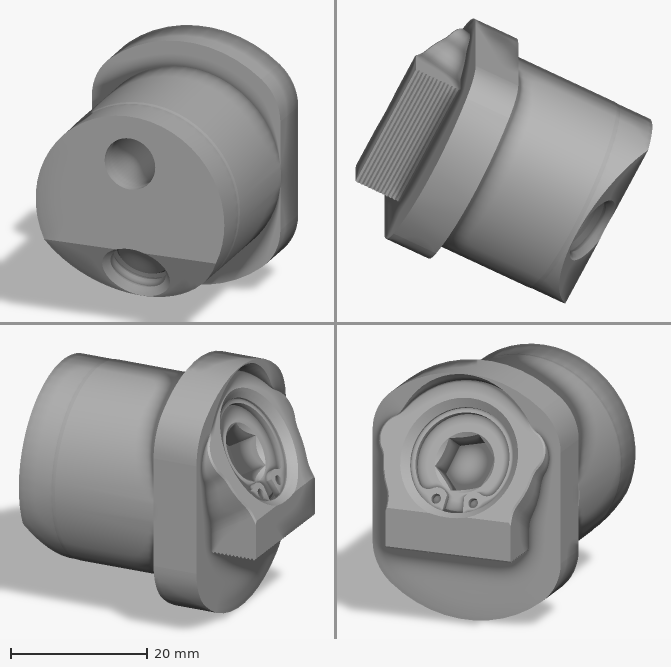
import cadquery as cq
import math

BARREL_DIA = 30.0
BARREL_LENGTH = 22.0
NOSE_DIA = 29.85
NOSE_LENGTH = 5.3
NOSE_TAPER = 0.65
FLANGE_RADIUS = 18.95
FLANGE_WIDTH = 29.8
FLANGE_THICKNESS = 7.0
FLANGE_CORNER_RADIUS = 8.0
DOWEL_HOLE_DIA = 8.0
DOWEL_HOLE_Z = 7.5
DOWEL_HOLE_DEPTH = 17.5
BEVEL_TOP_Z = -6.2

TILT = 30.0
AXIS_Z = 1.0
JAW_END = 11.45
BEVEL_STATION = (
    -BARREL_LENGTH * math.cos(math.radians(TILT))
    + (BEVEL_TOP_Z - AXIS_Z) * math.sin(math.radians(TILT))
)

JAW_RADIUS = 11.9
LOBE_RADIUS = 3.6
LOBE_X = 9.5
LOBE_V = 2.1
FOOT_HALF_WIDTH = 9.9
FOOT_DROP = 20.0
JAW_FILLET = 4.0
JAW_CHAMFER = 0.25
JAW_FRONT_Y = -7.34
JAW_TIP_Y = 14.24
JAW_FLOOR_Z = -7.0
TOOTH_COUNT = 12
TOOTH_DEPTH = 0.3

HEAD_RADIUS = 8.0
HEAD_LENGTH = 8.0
HEAD_CHAMFER = 0.6
BORE_CHAMFER = 1.15
SHANK_RADIUS = 4.3
SHANK_CHAMFER = 0.5
SHANK_RECESS = 3.1
COUNTERSINK_RADIUS = 5.25
THREAD_PITCH = 1.5
THREAD_TURNS = 2
THREAD_DEPTH = 0.55
HEX_ACROSS_FLATS = 8.0
HEX_DEPTH = 5.0
HEX_TURN = 13.5
HEX_CHAMFER = 1.2
RING_DEPTH = 1.5
RING_THICKNESS = 1.0
RING_OUTER_RADIUS = 8.5
RING_INNER_RADIUS = 7.3
EAR_X = 2.93
EAR_V = -6.1
EAR_RADIUS = 1.73
EAR_HOLE_DIA = 1.5
EAR_FILLET = 1.7
RING_GAP_INNER = 2.5
RING_GAP_OUTER = 3.4

RING_STATION = JAW_END - RING_DEPTH - RING_THICKNESS
HEAD_TOP = RING_STATION
HEAD_BOTTOM = HEAD_TOP - HEAD_LENGTH
SHANK_END = BEVEL_STATION + SHANK_RECESS
SPAN = 80.0


def slanted(station=0.0):
    """Workplane square to the slanted axis; local y points up the jaw's end face."""
    tilt = math.radians(TILT)
    direction = cq.Vector(0, math.cos(tilt), math.sin(tilt))
    origin = cq.Vector(0, 0, AXIS_Z) + direction * station
    return cq.Workplane(cq.Plane(origin, xDir=(-1, 0, 0), normal=direction))


def cylinder(start, end, radius):
    return slanted(start).circle(radius).extrude(end - start)


def cone(start, end, start_radius, end_radius):
    profile = [(0, start), (start_radius, start), (end_radius, end), (0, end)]
    turned = cq.Workplane("XY").polyline(profile).close().revolve(360, (0, 0), (0, 1))
    tilted = turned.rotate((0, 0, 0), (1, 0, 0), TILT)
    return tilted.translate((0, 0, AXIS_Z))


def polar(radius, angle, center=(0, 0)):
    return (center[0] + radius * math.cos(angle), center[1] + radius * math.sin(angle))


def direction_angle(start, end):
    return math.atan2(end[1] - start[1], end[0] - start[0])


def corner_angle(side, other_side, opposite):
    """Angle between two sides of a triangle, from its three side lengths."""
    return math.acos((side**2 + other_side**2 - opposite**2) / (2 * side * other_side))


def arc_by_angles(center, radius, start, end):
    """Middle point and end point of an arc about center."""
    return (polar(radius, (start + end) / 2, center), polar(radius, end, center))


def jaw_outline_arcs():
    """Arcs of the right half of the jaw outline, from its top down to the foot."""
    axis = (0, 0)
    lobe = (LOBE_X, LOBE_V)
    lobe_angle = direction_angle(axis, lobe)
    half_turn = math.pi

    fillet_distance = JAW_RADIUS + JAW_FILLET
    blend = corner_angle(fillet_distance, math.hypot(*lobe), LOBE_RADIUS + JAW_FILLET)
    upper_angle = lobe_angle + blend
    upper_fillet = polar(fillet_distance, upper_angle)
    lobe_start = direction_angle(lobe, upper_fillet)
    lower_angle = lobe_angle - blend
    lower_fillet = polar(fillet_distance, lower_angle)
    lobe_end = direction_angle(lobe, lower_fillet)

    foot_fillet_x = FOOT_HALF_WIDTH + JAW_FILLET
    foot_fillet_v = -math.sqrt(fillet_distance**2 - foot_fillet_x**2)
    foot_fillet = (foot_fillet_x, foot_fillet_v)
    main_end = direction_angle(axis, foot_fillet)

    return [
        arc_by_angles(axis, JAW_RADIUS, math.pi / 2, upper_angle),
        arc_by_angles(upper_fillet, JAW_FILLET, upper_angle - half_turn, lobe_start - half_turn),
        arc_by_angles(lobe, LOBE_RADIUS, lobe_start, lobe_end),
        arc_by_angles(lower_fillet, JAW_FILLET, lobe_end + half_turn, lower_angle + half_turn),
        arc_by_angles(axis, JAW_RADIUS, lower_angle, main_end),
        arc_by_angles(foot_fillet, JAW_FILLET, main_end + half_turn, half_turn),
    ]


def jaw_prism(end):
    """Jaw outline swept along the axis up to station end, before its front and underside are cut."""
    start = -SPAN / 2
    outline = slanted(start).moveTo(0, JAW_RADIUS)
    for middle, finish in jaw_outline_arcs():
        outline = outline.threePointArc(middle, finish)
    outline = outline.lineTo(FOOT_HALF_WIDTH, -FOOT_DROP).lineTo(0, -FOOT_DROP)
    return outline.mirrorY().extrude(end - start)


def jaw_limits(tip_y):
    length = tip_y - JAW_FRONT_Y
    block = cq.Workplane("XY").box(SPAN, length, SPAN, centered=(True, False, False))
    return block.translate((0, JAW_FRONT_Y, JAW_FLOOR_Z))


def dowel_hole(end_y):
    front = cq.Workplane("XZ", origin=(0, -BARREL_LENGTH, 0)).center(0, DOWEL_HOLE_Z)
    return front.circle(DOWEL_HOLE_DIA / 2).extrude(-(end_y + BARREL_LENGTH))


def thread_groove(start):
    """V-groove standing for one turn of the internal thread."""
    middle = start + THREAD_PITCH / 2
    root_radius = SHANK_RADIUS + THREAD_DEPTH
    opening = cone(start, middle, SHANK_RADIUS, root_radius)
    return opening.union(cone(middle, start + THREAD_PITCH, root_radius, SHANK_RADIUS))


def make_housing():
    barrel_radius = BARREL_DIA / 2
    nose_radius = NOSE_DIA / 2
    nose_y = NOSE_LENGTH - BARREL_LENGTH
    barrel = (
        cq.Workplane("XY")
        .moveTo(0, -BARREL_LENGTH)
        .lineTo(nose_radius, -BARREL_LENGTH)
        .lineTo(nose_radius, nose_y)
        .lineTo(barrel_radius, nose_y + NOSE_TAPER)
        .lineTo(barrel_radius, 0)
        .lineTo(0, 0)
        .close()
        .revolve(360, (0, 0), (0, 1))
    )
    flange_sides = cq.Workplane("XZ").rect(FLANGE_WIDTH, SPAN).extrude(-FLANGE_THICKNESS)
    flange = (
        cq.Workplane("XZ")
        .circle(FLANGE_RADIUS)
        .extrude(-FLANGE_THICKNESS)
        .intersect(flange_sides)
        .faces("<X or >X")
        .edges("|Y")
        .fillet(FLANGE_CORNER_RADIUS)
    )
    bevel = slanted(BEVEL_STATION).rect(SPAN, SPAN).extrude(-SPAN)
    countersink_depth = COUNTERSINK_RADIUS - SHANK_RADIUS
    countersink = cone(
        BEVEL_STATION, BEVEL_STATION + countersink_depth, COUNTERSINK_RADIUS, SHANK_RADIUS
    )
    pocket = jaw_prism(SPAN / 2).intersect(jaw_limits(SPAN))
    housing_body = (
        barrel.union(flange)
        .cut(bevel)
        .cut(pocket)
        .cut(dowel_hole(DOWEL_HOLE_DEPTH - BARREL_LENGTH))
        .cut(cylinder(BEVEL_STATION, HEAD_BOTTOM, SHANK_RADIUS))
        .cut(countersink)
    )
    for turn in range(THREAD_TURNS):
        groove_start = BEVEL_STATION + countersink_depth + turn * THREAD_PITCH
        housing_body = housing_body.cut(thread_groove(groove_start))
    return housing_body


def make_teeth():
    """V-grooves across the exposed underside of the jaw."""
    pitch = (JAW_TIP_Y - FLANGE_THICKNESS) / TOOTH_COUNT
    outline = cq.Workplane("YZ", origin=(-SPAN / 2, 0, 0)).moveTo(FLANGE_THICKNESS, JAW_FLOOR_Z)
    for tooth in range(TOOTH_COUNT):
        groove_start = FLANGE_THICKNESS + tooth * pitch
        outline = outline.lineTo(groove_start, JAW_FLOOR_Z + TOOTH_DEPTH)
        outline = outline.lineTo(groove_start + pitch / 2, JAW_FLOOR_Z)
    outline = outline.lineTo(JAW_TIP_Y, JAW_FLOOR_Z + TOOTH_DEPTH)
    outline = outline.lineTo(JAW_TIP_Y, JAW_FLOOR_Z - 1).lineTo(FLANGE_THICKNESS, JAW_FLOOR_Z - 1)
    return outline.close().extrude(SPAN)


def make_jaw():
    end_face = cq.selectors.DirectionMinMaxSelector(slanted().plane.zDir, True)
    body = jaw_prism(JAW_END).faces(end_face).chamfer(JAW_CHAMFER)
    bore_mouth = cone(JAW_END - BORE_CHAMFER, JAW_END, HEAD_RADIUS, HEAD_RADIUS + BORE_CHAMFER)
    return (
        body.intersect(jaw_limits(JAW_TIP_Y))
        .cut(make_teeth())
        .cut(cylinder(HEAD_BOTTOM, JAW_END, HEAD_RADIUS))
        .cut(bore_mouth)
        .cut(cylinder(RING_STATION, RING_STATION + RING_THICKNESS, RING_OUTER_RADIUS))
        .cut(cylinder(BEVEL_STATION, HEAD_BOTTOM, SHANK_RADIUS))
    )


def make_screw():
    head_side_top = HEAD_TOP - HEAD_CHAMFER
    shank_side_end = SHANK_END + SHANK_CHAMFER
    hex_vertex_dia = HEX_ACROSS_FLATS / math.cos(math.radians(30))
    socket = (
        slanted(HEAD_TOP)
        .transformed(rotate=(0, 0, HEX_TURN))
        .polygon(6, hex_vertex_dia)
        .extrude(-HEX_DEPTH)
    )
    hex_vertex_radius = hex_vertex_dia / 2
    socket_mouth = cone(
        HEAD_TOP - HEX_CHAMFER, HEAD_TOP, hex_vertex_radius - HEX_CHAMFER, hex_vertex_radius
    )
    return (
        cylinder(HEAD_BOTTOM, head_side_top, HEAD_RADIUS)
        .union(cone(head_side_top, HEAD_TOP, HEAD_RADIUS, HEAD_RADIUS - HEAD_CHAMFER))
        .union(cylinder(shank_side_end, HEAD_BOTTOM, SHANK_RADIUS))
        .union(cone(SHANK_END, shank_side_end, SHANK_RADIUS - SHANK_CHAMFER, SHANK_RADIUS))
        .cut(socket)
        .cut(socket_mouth)
    )


def make_ring():
    """Internal retaining ring, open between its two drilled ears."""
    ear_places = [(-EAR_X, EAR_V), (EAR_X, EAR_V)]
    plane = slanted(RING_STATION)
    hoop = plane.circle(RING_OUTER_RADIUS).circle(RING_INNER_RADIUS).extrude(RING_THICKNESS)
    ear_distance = math.hypot(EAR_X, EAR_V)
    ear_angle = math.atan2(EAR_V, EAR_X)
    junction_angle = ear_angle + corner_angle(RING_INNER_RADIUS, ear_distance, EAR_RADIUS)
    junction_x, junction_v = polar(RING_INNER_RADIUS, junction_angle)
    ears = plane.pushPoints(ear_places).circle(EAR_RADIUS).extrude(RING_THICKNESS)
    gap_inner_v = EAR_V + EAR_RADIUS
    gap = (
        plane.polyline([
            (-RING_GAP_INNER / 2, gap_inner_v),
            (RING_GAP_INNER / 2, gap_inner_v),
            (RING_GAP_OUTER / 2, -RING_OUTER_RADIUS),
            (-RING_GAP_OUTER / 2, -RING_OUTER_RADIUS),
        ])
        .close()
        .extrude(RING_THICKNESS)
    )
    holes = plane.pushPoints(ear_places).circle(EAR_HOLE_DIA / 2).extrude(RING_THICKNESS)
    body = hoop.union(ears)
    for side in (-1, 1):
        corner = plane.plane.toWorldCoords((side * junction_x, junction_v, RING_THICKNESS / 2))
        body = body.edges(cq.NearestToPointSelector(corner.toTuple())).fillet(EAR_FILLET)
    return body.cut(gap).cut(holes)


housing = make_housing()
jaw = make_jaw()
screw = make_screw()
ring = make_ring()

result = cq.Compound.makeCompound([housing.val(), jaw.val(), screw.val(), ring.val()])